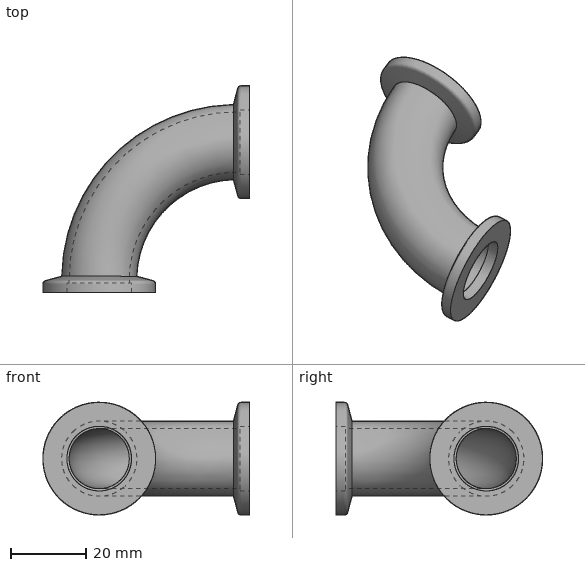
import cadquery as cq
import math

tube_outer_radius = 10.0
tube_bore_radius = 8.0
end_distance = 40.0
straight_length = 3.5
bend_radius = end_distance - straight_length

flange_radius = 15.0
rim_edge_depth = 3.0
cone_angle = 15.0
rim_rounding = 1.0
cone_rise = (flange_radius - tube_outer_radius) * math.tan(math.radians(cone_angle))
flange_length = rim_edge_depth + cone_rise

recess_radius = 8.6
recess_depth = 2.6
recess_rounding = 0.35


def quarter_bend(radius):
    """Solid quarter torus of the given section radius, from the -Y end to the +X end."""
    section = cq.Workplane("XZ", origin=(0, -bend_radius, 0)).circle(radius)
    return section.revolve(90, (bend_radius, 0, 0), (bend_radius, -1, 0))


def end_cylinder(radius, length):
    """Cylinder running inward along +Y from the sealing face at the -Y end."""
    return cq.Workplane("XZ", origin=(0, -end_distance, 0)).circle(radius).extrude(-length)


def flange():
    """Solid clamp flange at the -Y end, with a conical back and a rounded rim."""
    face_y = -end_distance
    profile = (
        cq.Workplane("XY")
        .moveTo(0, face_y)
        .lineTo(flange_radius, face_y)
        .lineTo(flange_radius, face_y + rim_edge_depth)
        .lineTo(tube_outer_radius, face_y + flange_length)
        .lineTo(0, face_y + flange_length)
        .close()
    )
    body = profile.revolve(360, (0, 0, 0), (0, 1, 0))
    rim_corner = body.faces("%CONE").edges("%CIRCLE").edges("<Y")
    return rim_corner.fillet(rim_rounding)


def end_bore():
    """Straight bore and round-cornered ring recess to be cut at the -Y end."""
    recess = end_cylinder(recess_radius, recess_depth).edges(">Y").fillet(recess_rounding)
    return end_cylinder(tube_bore_radius, straight_length).union(recess)


def at_both_ends(feature):
    """The -Y end feature together with its copy at the +X end."""
    return feature.union(feature.rotate((0, 0, 0), (0, 0, 1), 90))


outside = quarter_bend(tube_outer_radius).union(at_both_ends(flange()))
inside = quarter_bend(tube_bore_radius).union(at_both_ends(end_bore()))
result = outside.cut(inside)